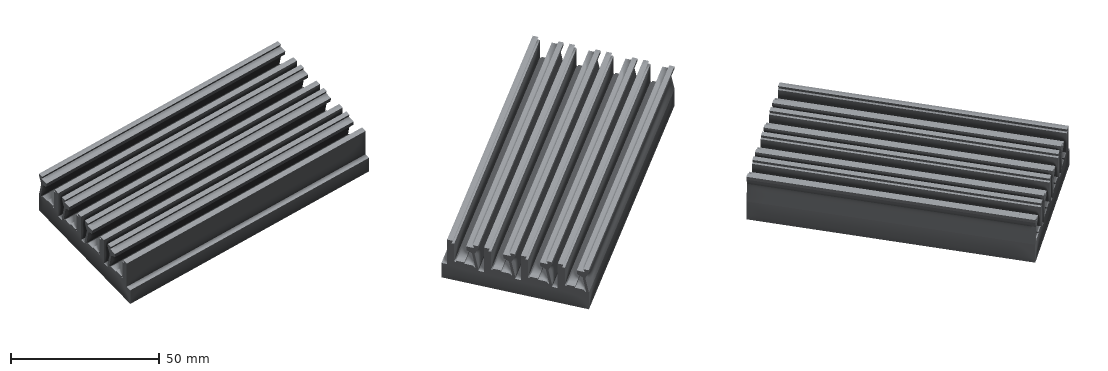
import cadquery as cq

LENGTH = 100.0
HEIGHT = 18.9
PITCH = 13.0
CHANNELS = 4
WIDTH = CHANNELS * PITCH

GAP_FLOOR = 7.0
WEB_ROOT = 8.0
CHANNEL_FLOOR = 9.0
PAD_TOP = 9.6
WAIST = 14.8
JAW_BOTTOM = 15.5
JAW_CORNER = 15.7
SEAT = 17.6

HEAD_LEFT = 0.1
WEB_ROOT_INNER = 1.0
WAIST_OUTER = 1.3
WAIST_INNER = 2.2
JAW_BEND = 3.3
JAW_CORNER_RIGHT = 4.1
JAW_RIGHT = 4.3
FLOOR_START = 2.0
PAD_LEFT = 4.9
PAD_RIGHT = 7.9
POST_LEFT = 8.5
POST_RIGHT = 11.0

CLIP_LIP = 1.9
POST_LIP = 9.0
LIP_UNDERCUT = 0.4


def channel_points(start):
    """Upper outline of one pitch, left to right: clip, padded floor, post and gap."""
    clip = [
        (0.0, WEB_ROOT),
        (WAIST_OUTER, WAIST),
        (HEAD_LEFT, SEAT),
        (HEAD_LEFT, HEIGHT),
        (CLIP_LIP, HEIGHT),
        (CLIP_LIP - LIP_UNDERCUT, SEAT),
        (JAW_RIGHT, SEAT),
        (JAW_CORNER_RIGHT, JAW_CORNER),
        (JAW_BEND, JAW_BOTTOM),
        (WAIST_INNER, WAIST),
    ]
    floor = [
        (WEB_ROOT_INNER, WEB_ROOT),
        (FLOOR_START, CHANNEL_FLOOR),
        (PAD_LEFT, CHANNEL_FLOOR),
        (PAD_LEFT, PAD_TOP),
        (PAD_RIGHT, PAD_TOP),
        (PAD_RIGHT, CHANNEL_FLOOR),
        (POST_LEFT, CHANNEL_FLOOR),
    ]
    post = [
        (POST_LEFT, SEAT),
        (POST_LIP + LIP_UNDERCUT, SEAT),
        (POST_LIP, HEIGHT),
        (POST_RIGHT, HEIGHT),
    ]
    gap = [
        (POST_RIGHT, GAP_FLOOR),
        (PITCH, GAP_FLOOR),
    ]
    return [(start + x, z) for x, z in clip + floor + post + gap]


outline = [(0.0, 0.0)]
for index in range(CHANNELS):
    outline += channel_points(index * PITCH)
outline.append((WIDTH, 0.0))

result = cq.Workplane("XZ").polyline(outline).close().extrude(-LENGTH)